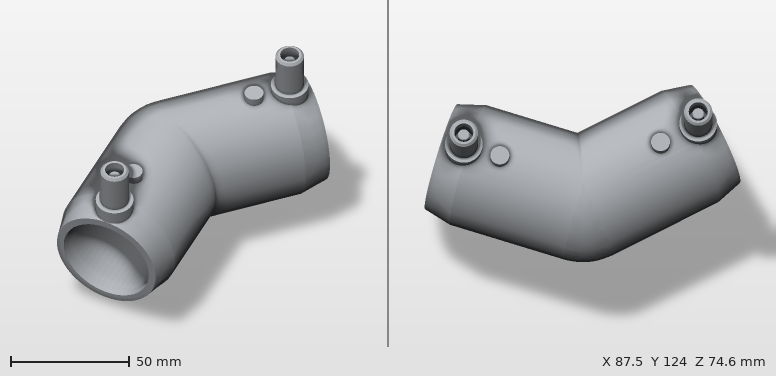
import cadquery as cq
import math

bend_angle = 45
leg_length = 63.0
body_radius = 53.0 / 2
taper_length = 12.0
taper_angle = 15
end_radius = body_radius - taper_length * math.tan(math.radians(taper_angle))

bore_radius = 35.7 / 2
socket_radius = 40.0 / 2
shoulder_distance = 14.8

flange_diameter = 16.0
flange_top = 29.6
post_diameter = 12.0
post_top = 48.1
post_chamfer = 1.0
recess_diameter = 8.0
recess_depth = 12.0
pin_diameter = 5
pin_drop = 3.3
pin_chamfer = 0.4
stud_diameter = 8.0
stud_top = 30.0
stud_distance = 37.0
first_post_distance = 54.9
second_post_distance = 53.0


def revolve_leg(profile):
    """Revolve (radius, distance) points about the Y axis; the leg runs toward -Y."""
    points = [(radius, -distance) for radius, distance in profile]
    return cq.Workplane("XY").polyline(points).close().revolve(360, (0, 0), (0, 1))


def turn_to_second_leg(leg):
    """Swing a leg from -Y to the direction of the second leg."""
    return leg.rotate((0, 0, 0), (0, 0, 1), 180 - bend_angle)


def bend_wedge(radius):
    """Slice of a ball, turned about Z, filling the outside of the bend between the leg ends."""
    half_disc = (
        cq.Workplane("XZ")
        .moveTo(0, -radius)
        .threePointArc((-radius, 0), (0, radius))
        .close()
    )
    return half_disc.revolve(bend_angle, (0, 0), (0, -1))


def join_legs(profile, bend_radius):
    """Both legs, with the outside of the bend rounded by a wedge."""
    leg = revolve_leg(profile)
    return leg.union(bend_wedge(bend_radius)).union(turn_to_second_leg(leg))


def upright(diameter, bottom, top, distance):
    """Vertical cylinder above the axis of the first leg."""
    base = cq.Workplane("XY", origin=(0, -distance, bottom))
    return base.circle(diameter / 2).extrude(top - bottom)


def terminal(distance):
    """Flanged post with a recess around a central contact pin."""
    recess_floor = post_top - recess_depth
    post = upright(post_diameter, 0, post_top, distance).faces(">Z").chamfer(post_chamfer)
    recess = upright(recess_diameter, recess_floor, post_top, distance)
    pin = upright(pin_diameter, 0, post_top - pin_drop, distance).faces(">Z").chamfer(pin_chamfer)
    flange = upright(flange_diameter, 0, flange_top, distance)
    return post.cut(recess).union(pin).union(flange)


def leg_fittings(post_distance):
    stud = upright(stud_diameter, 0, stud_top, stud_distance)
    return terminal(post_distance).union(stud)


body_profile = [
    (0, 0),
    (body_radius, 0),
    (body_radius, leg_length - taper_length),
    (end_radius, leg_length),
    (0, leg_length),
]
cavity_profile = [
    (0, 0),
    (bore_radius, 0),
    (bore_radius, shoulder_distance),
    (socket_radius, shoulder_distance),
    (socket_radius, leg_length),
    (0, leg_length),
]

body = join_legs(body_profile, body_radius)
cavity = join_legs(cavity_profile, bore_radius)
fittings = leg_fittings(first_post_distance).union(
    turn_to_second_leg(leg_fittings(second_post_distance))
)
result = body.union(fittings).cut(cavity)